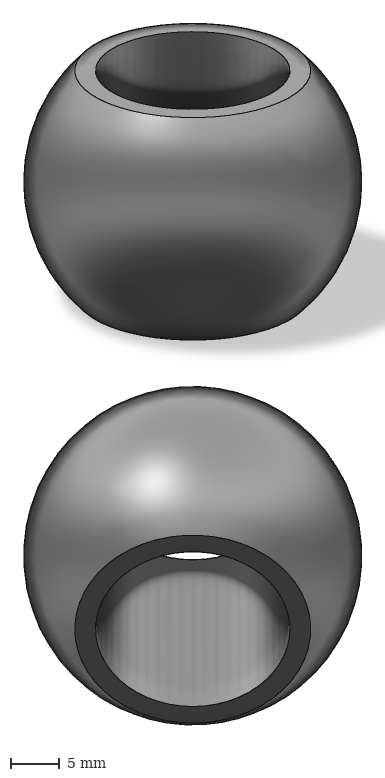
import cadquery as cq

ball_diameter = 34.85
width = 25.0
bore_diameter = 20.0

ball = cq.Workplane("XY").sphere(ball_diameter / 2)
trim_block = cq.Workplane("XY").box(ball_diameter, ball_diameter, width)
flat_ended_ball = ball.intersect(trim_block)

bore = cq.Workplane("XY").cylinder(width, bore_diameter / 2)

result = flat_ended_ball.cut(bore)